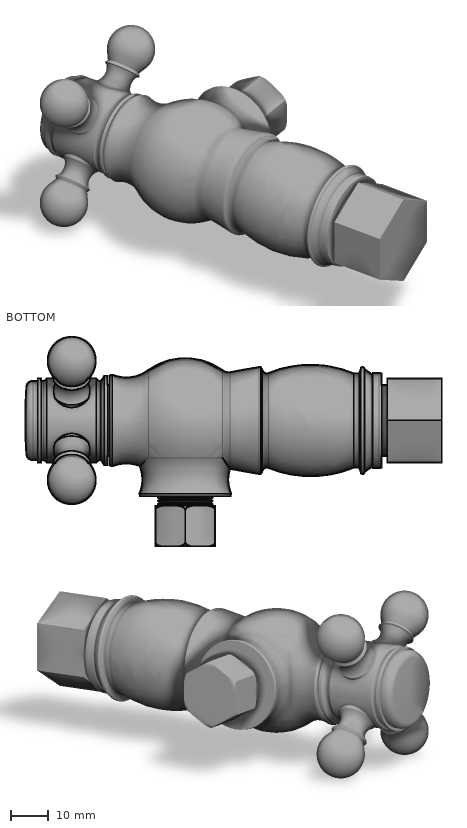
import cadquery as cq
import math


ball_radius = 16.5
blend_axial = 9.8
blend_radius = math.sqrt(ball_radius**2 - blend_axial**2)
blend_angle = math.asin(blend_axial / ball_radius)

waist_fillet = 9.7
collar_length = 0.7
collar_end = 20.0
handle_collar_radius = 11.85
branch_collar_radius = 12.0

cone_fillet = 2.65
cone_angle = math.radians(9.1)
bead_radius = 14.15
bead_shoulder_radius = 13.6
crest_start = 19.45
crest_width = 0.45
crest_shoulder = 20.25
crest_cove_bottom = 20.75
crest_cove_bottom_radius = 12.75
barrel_end_radius = 12.5
barrel_radius = 14.75
barrel_start = 21.85
barrel_end = 44.4
rim_rise_start = 45.9
rim_rise_end = 46.3
rim_crest = 46.8
rim_shoulder = 47.3
rim_foot = 49.3
rim_foot_radius = 12.2
outlet_ring_start = 49.5
outlet_ring_taper = 51.05
outlet_ring_end = 51.8
outlet_ring_radius = 12.6

stem_radius = 9.4
outlet_nut_start = 53.25
outlet_nut_end = 67.75
outlet_nut_flats = 22.25

thread_crest_radius = 7.25
thread_root_radius = 6.6
thread_turns = 3
branch_nut_start = 22.5
branch_nut_end = 33.25
branch_nut_flats = 15.8

handle_end = -20.5
handle_front = -42.3
front_dome_height = 0.3
front_dome_radius = 8.7
cap_radius = 10.5
hub_radius = 11.2
flange_radius = 11.85
cap_ring_start = -39.0
cap_ring_end = -38.05
hub_start = -36.55
hub_end = -23.55
cove_length = 1.0
cove_middle_radius = 10.64
flange_cone_start = -22.25
flange_start = -21.35

spoke_count = 4
spoke_x = -29.97
spoke_ball_radius = 6.4
spoke_ball_center = 22.245
spoke_ball_blend = 18.6
spoke_foot = 10.9
spoke_waist = 13.85
spoke_waist_radius = 3.72
spoke_cove_radius = 3.8
spoke_cove_end = 16.1
spoke_ring_radius = 5.0
spoke_ring_edge = 16.35
spoke_ring_top = 17.2
spoke_ring_top_radius = 4.5


def spin(profile):
    """Close a profile of (x, radius) against the X axis and revolve it."""
    return profile.close().revolve(360, (0, 0, 0), (1, 0, 0))


def cylinder(start, end, radius):
    return cq.Workplane("YZ", origin=(start, 0, 0)).circle(radius).extrude(end - start)


def hexagon(start, end, flats):
    """Hexagonal bar along X with two of its corners on the Z axis."""
    corner_diameter = flats / math.cos(math.pi / 6)
    turned = cq.Workplane("YZ", origin=(start, 0, 0)).transformed(rotate=(0, 0, 90))
    return turned.polygon(6, corner_diameter).extrude(end - start)


def turn_to_branch(shape):
    return shape.rotate((0, 0, 0), (0, 0, 1), 90)


def collared_neck(collar_radius):
    """Neck along +X whose concave waist is tangent to the ball."""
    center_x = (ball_radius + waist_fillet) * math.sin(blend_angle)
    center_r = (ball_radius + waist_fillet) * math.cos(blend_angle)
    waist_end = collar_end - collar_length
    waist_end_radius = center_r - math.sqrt(waist_fillet**2 - (waist_end - center_x) ** 2)
    return spin(
        cq.Workplane("XY")
        .lineTo(0, blend_radius)
        .lineTo(blend_axial, blend_radius)
        .threePointArc((center_x, center_r - waist_fillet), (waist_end, waist_end_radius))
        .lineTo(collar_end, collar_radius)
        .lineTo(collar_end, 0)
    )


def outlet_barrel():
    """Flared cone, bead, bulged barrel, rim bead and end ring, all turned about X."""
    center_x = (ball_radius + cone_fillet) * math.sin(blend_angle)
    center_r = (ball_radius + cone_fillet) * math.cos(blend_angle)
    cone_start = center_x + cone_fillet * math.sin(cone_angle)
    cone_start_radius = center_r - cone_fillet * math.cos(cone_angle)
    crest_end = crest_start + crest_width
    crest_cove = (crest_cove_bottom, crest_cove_bottom_radius)
    barrel_middle = (barrel_start + barrel_end) / 2
    return spin(
        cq.Workplane("XY")
        .lineTo(0, blend_radius)
        .lineTo(blend_axial, blend_radius)
        .threePointArc((center_x, center_r - cone_fillet), (cone_start, cone_start_radius))
        .lineTo(crest_start, bead_radius)
        .lineTo(crest_end, bead_radius)
        .lineTo(crest_shoulder, bead_shoulder_radius)
        .threePointArc(crest_cove, (barrel_start, barrel_end_radius))
        .threePointArc((barrel_middle, barrel_radius), (barrel_end, barrel_end_radius))
        .lineTo(rim_rise_start, barrel_end_radius)
        .lineTo(rim_rise_end, bead_shoulder_radius)
        .threePointArc((rim_crest, bead_radius), (rim_shoulder, bead_shoulder_radius))
        .lineTo(rim_foot, rim_foot_radius)
        .lineTo(outlet_ring_start, outlet_ring_radius)
        .lineTo(outlet_ring_taper, outlet_ring_radius)
        .lineTo(outlet_ring_end, barrel_end_radius)
        .lineTo(outlet_ring_end, 0)
    )


def branch_thread():
    """Thread between the branch collar and its nut, as a row of sharp rings along X."""
    pitch = (branch_nut_start - collar_end) / thread_turns
    profile = cq.Workplane("XY").moveTo(collar_end, 0).lineTo(collar_end, thread_root_radius)
    for turn in range(thread_turns):
        root = collar_end + turn * pitch
        profile = profile.lineTo(root + pitch / 2, thread_crest_radius)
        profile = profile.lineTo(root + pitch, thread_root_radius)
    return spin(profile.lineTo(branch_nut_start, 0))


def branch_nut():
    """Hexagon nut along X, its corners rounded down to the flats at both ends."""
    corner_radius = branch_nut_flats / 2 / math.cos(math.pi / 6)
    corner_round = corner_radius - branch_nut_flats / 2
    envelope = cylinder(branch_nut_start, branch_nut_end, corner_radius).edges().fillet(corner_round)
    return hexagon(branch_nut_start, branch_nut_end, branch_nut_flats).intersect(envelope)


def make_valve_body():
    ball = cq.Workplane("XY").sphere(ball_radius)
    handle_neck = collared_neck(handle_collar_radius).rotate((0, 0, 0), (0, 0, 1), 180)
    branch_neck = turn_to_branch(collared_neck(branch_collar_radius))
    body = ball.union(outlet_barrel()).union(handle_neck).union(branch_neck)
    body = body.union(cylinder(handle_end, -collar_end, stem_radius))
    body = body.union(cylinder(outlet_ring_end, outlet_nut_start, stem_radius))
    body = body.union(hexagon(outlet_nut_start, outlet_nut_end, outlet_nut_flats))
    body = body.union(turn_to_branch(branch_thread()))
    return body.union(turn_to_branch(branch_nut()))


def handle_hub():
    """Hub with a domed front, a raised ring, coved necks and a flange facing the valve."""
    dome_edge = handle_front + front_dome_height
    dome_middle = (handle_front + front_dome_height / 4, front_dome_radius / 2)
    front_round = cap_radius - front_dome_radius
    round_middle = (
        dome_edge + front_round * (1 - math.sqrt(0.5)),
        front_dome_radius + front_round * math.sqrt(0.5),
    )
    front_cove = (hub_start - cove_length / 2, cove_middle_radius)
    rear_cove = (hub_end + cove_length / 2, cove_middle_radius)
    return spin(
        cq.Workplane("XY")
        .moveTo(handle_front, 0)
        .threePointArc(dome_middle, (dome_edge, front_dome_radius))
        .threePointArc(round_middle, (dome_edge + front_round, cap_radius))
        .lineTo(cap_ring_start, cap_radius)
        .lineTo(cap_ring_start, hub_radius)
        .lineTo(cap_ring_end, hub_radius)
        .lineTo(cap_ring_end, cap_radius)
        .lineTo(hub_start - cove_length, cap_radius)
        .threePointArc(front_cove, (hub_start, hub_radius))
        .lineTo(hub_end, hub_radius)
        .threePointArc(rear_cove, (hub_end + cove_length, cap_radius))
        .lineTo(flange_cone_start, cap_radius)
        .lineTo(flange_start, flange_radius)
        .lineTo(handle_end, flange_radius)
        .lineTo(handle_end, 0)
    )


def handle_spoke():
    """Spoke along +X from the main axis: concave stem, sharp ring and ball end."""

    def cove_radius_at(x):
        depth = math.sqrt(spoke_cove_radius**2 - (x - spoke_waist) ** 2)
        return spoke_waist_radius + spoke_cove_radius - depth

    def ball_radius_at(x):
        return math.sqrt(spoke_ball_radius**2 - (x - spoke_ball_center) ** 2)

    foot_radius = cove_radius_at(spoke_foot)
    ball_blend_radius = ball_radius_at(spoke_ball_blend)
    return spin(
        cq.Workplane("XY")
        .lineTo(0, foot_radius)
        .lineTo(spoke_foot, foot_radius)
        .threePointArc((spoke_waist, spoke_waist_radius), (spoke_cove_end, cove_radius_at(spoke_cove_end)))
        .lineTo(spoke_ring_edge, spoke_ring_radius)
        .lineTo(spoke_ring_top, spoke_ring_top_radius)
        .lineTo(spoke_ball_blend, ball_blend_radius)
        .threePointArc(
            (spoke_ball_center, spoke_ball_radius),
            (spoke_ball_center + spoke_ball_radius, 0),
        )
    )


def make_handle():
    handle = handle_hub()
    upright_spoke = handle_spoke().rotate((0, 0, 0), (0, 1, 0), -90).translate((spoke_x, 0, 0))
    for index in range(spoke_count):
        angle = (index + 0.5) * 360 / spoke_count
        handle = handle.union(upright_spoke.rotate((0, 0, 0), (1, 0, 0), angle))
    return handle


valve_body = make_valve_body()
handle = make_handle()

result = cq.Compound.makeCompound([valve_body.val(), handle.val()])